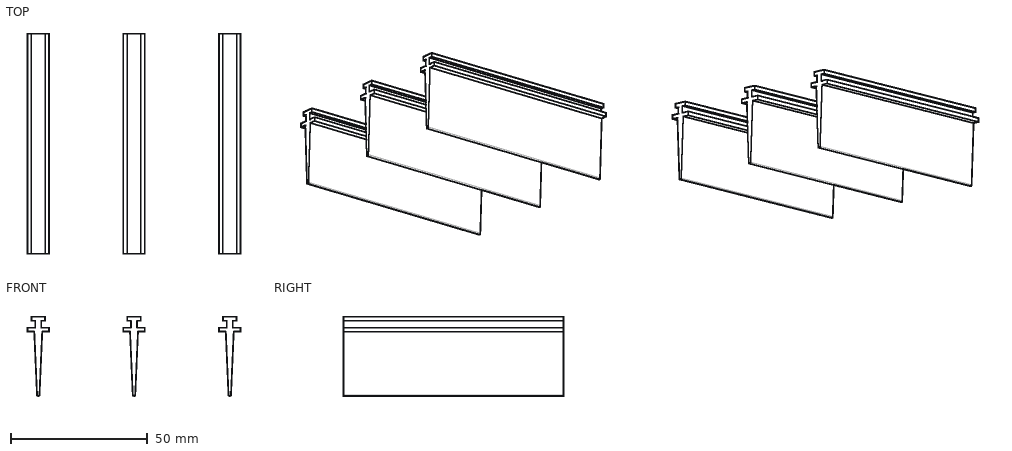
import cadquery as cq

strip_count = 3
strip_pitch = 35.0
strip_length = 80.5

total_height = 29.0
head_width = 5.0
head_thickness = 1.5
neck_width = 2.2
neck_height = 2.5
flange_width = 8.0
flange_thickness = 1.5
blade_root_width = 3.0
tip_radius = 0.5

head_bottom = total_height - head_thickness
flange_top = head_bottom - neck_height
flange_bottom = flange_top - flange_thickness


def make_strip(center_x):
    """T-headed strip with side flanges and a tapered, round-tipped blade, symmetric about center_x."""
    right_side = [
        (tip_radius, tip_radius),
        (blade_root_width / 2, flange_bottom),
        (flange_width / 2, flange_bottom),
        (flange_width / 2, flange_top),
        (neck_width / 2, flange_top),
        (neck_width / 2, head_bottom),
        (head_width / 2, head_bottom),
        (head_width / 2, total_height),
    ]
    left_side = [(-x, z) for x, z in reversed(right_side)]
    return (
        cq.Workplane("XZ")
        .polyline(right_side + left_side)
        .threePointArc((0, 0), right_side[0])
        .close()
        .extrude(strip_length / 2, both=True)
        .translate((center_x, 0, 0))
    )


first_x = -strip_pitch * (strip_count - 1) / 2
strips = [make_strip(first_x + i * strip_pitch) for i in range(strip_count)]

result = cq.Compound.makeCompound([strip.val() for strip in strips])